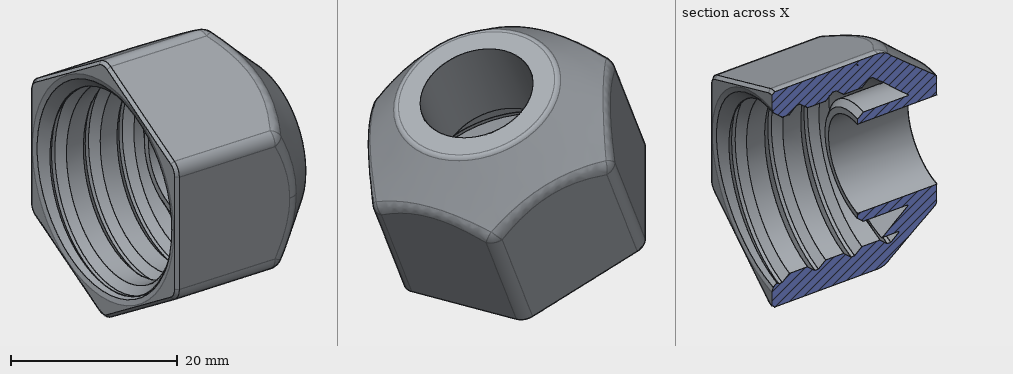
import cadquery as cq
import math

across_flats = 30.0
length = 22.83
nose_radius = 10.1
body_fillet = 2.0
nose_half_angle = 43
nose_edge_fillet = 0.92
open_end_chamfer = 0.4

tube_diameter = 14.0
crest_diameter = 25.0
root_diameter = 27.0
mouth_diameter = 28.85
mouth_depth = 0.2
lead_in_diameter = 27.5
seat_depth = 15.05

sleeve_tip_diameter = 15.72
sleeve_diameter = 17.3
sleeve_tip_depth = 11.85

pitch = 5.0
thread_turns = 3.25
thread_start_angle = 17
groove_width = pitch / 2
groove_edge_depth = 1.43
groove_overlap = 0.17

crest_radius = crest_diameter / 2
root_radius = root_diameter / 2
open_end = -length / 2
nose_end = length / 2


def revolve_about_y(points):
    """Solid of revolution from (radius, y) points."""
    return cq.Workplane("XY").polyline(points).close().revolve(360, (0, 0), (0, 1))


def hexagonal_body():
    """Hexagon with flats on +-X, rounded corners and a rounded nose cone."""
    corner_diameter = across_flats / math.cos(math.pi / 6)
    prism = (
        cq.Workplane("XZ", origin=(0, nose_end, 0))
        .transformed(rotate=(0, 0, 30))
        .polygon(6, corner_diameter)
        .extrude(length)
    )
    cone_base_radius = nose_radius + length * math.tan(math.radians(nose_half_angle))
    nose = revolve_about_y([(0, open_end), (cone_base_radius, open_end), (nose_radius, nose_end), (0, nose_end)])
    body = prism.intersect(nose)
    body = body.edges("not(<Y or >Y)").fillet(body_fillet)
    body = body.faces("<Y").edges().chamfer(open_end_chamfer)
    return body.faces(">Y").edges().fillet(nose_edge_fillet)


def bore():
    """Stepped cavity around the sleeve, together with the through hole."""
    lead_in_end = mouth_depth + (lead_in_diameter - crest_diameter) / 2
    seat_bottom = seat_depth + (crest_diameter - sleeve_diameter) / 2
    tip_chamfer = (sleeve_diameter - sleeve_tip_diameter) / 2
    profile = [
        (0, 0),
        (mouth_diameter / 2, 0),
        (lead_in_diameter / 2, mouth_depth),
        (crest_radius, lead_in_end),
        (crest_radius, seat_depth),
        (sleeve_diameter / 2, seat_bottom),
        (sleeve_diameter / 2, sleeve_tip_depth + tip_chamfer),
        (sleeve_tip_diameter / 2, sleeve_tip_depth),
        (tube_diameter / 2, sleeve_tip_depth),
        (tube_diameter / 2, length),
        (0, length),
    ]
    return revolve_about_y([(radius, open_end + depth) for radius, depth in profile])


def thread_groove():
    """Trapezoidal cutter swept along a helix that advances towards the nose."""
    groove_depth = root_radius - crest_radius
    half_root = groove_width / 2 - groove_depth
    half_mouth = groove_width / 2 + groove_overlap
    inner_radius = crest_radius - groove_overlap
    helix = cq.Wire.makeHelix(pitch, pitch * thread_turns, crest_radius)
    cutter = (
        cq.Workplane("XZ")
        .polyline([
            (inner_radius, -half_mouth),
            (root_radius, -half_root),
            (root_radius, half_root),
            (inner_radius, half_mouth),
        ])
        .close()
        .sweep(cq.Workplane(obj=helix), isFrenet=True)
    )
    groove_center = open_end + groove_edge_depth - groove_width / 2
    return (
        cutter.rotate((0, 0, 0), (1, 0, 0), -90)
        .rotate((0, 0, 0), (0, 1, 0), thread_start_angle)
        .translate((0, groove_center, 0))
    )


result = hexagonal_body().cut(bore()).cut(thread_groove())